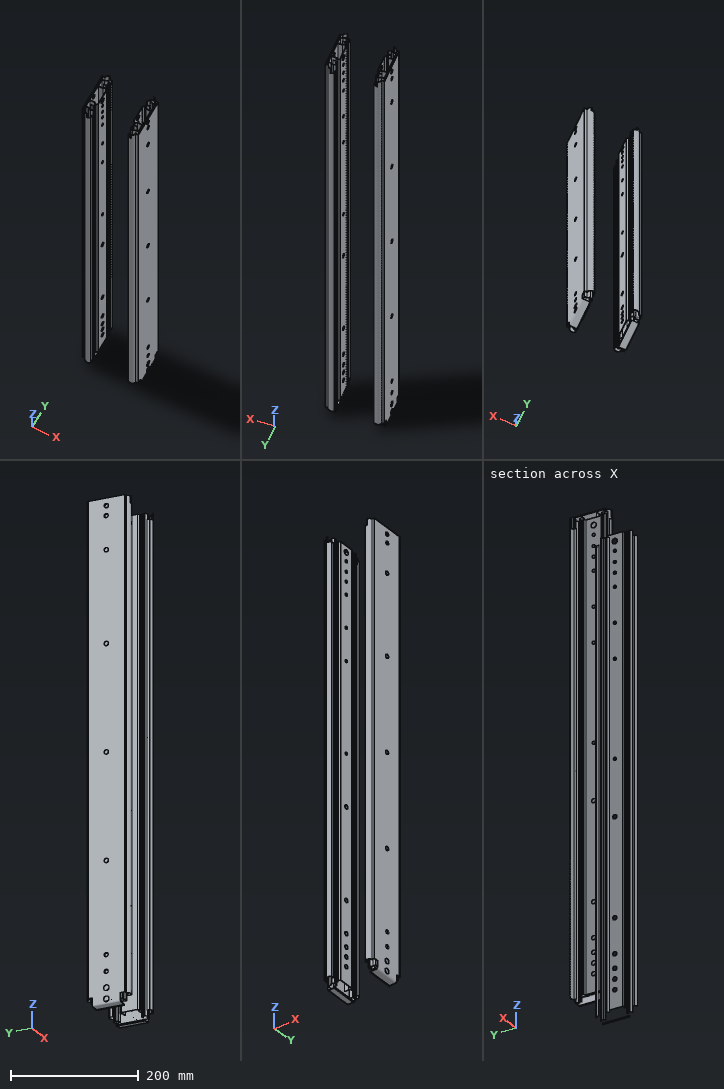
import cadquery as cq
import math

pair_width = 100.0
rail_height = 76.5
rail_length = 860.0
sheet = 1.3
half_sheet = sheet / 2

slide_depth = 19.0

outer_flange_half = 33.1
flange_depth = 5.0
race_depth = 11.0
race_end_depth = 17.0
race_end_half = 35.7
lip_end_half = 31.0
outer_flange_bottom = 16.0
race_notch_depth = 10.0
race_notch_length = 11.0

tab_half_width = 24.5
tab_level = 1.0
tab_bend_radius = 3.0
tab_hook_depth = 15.05

middle_back = 2.15
middle_half = 27.5
middle_ridge_half = 30.0
middle_ridge_depth = 12.5
middle_ridge_start = 8.0
middle_depth = 17.0
middle_lip_half = 25.0
middle_hook_half = 20.0
middle_hook_depth = 15.5
middle_hook_length = 5.0
middle_bottom = 8.0

inner_face_half = 14.2
inner_ear_half = 17.6
inner_ear_depth = 15.05
inner_flange_half = 15.0
inner_flange_start = 4.7
inner_bottom = 20.0

screw_hole = 7.4
small_hole = 5.0
large_hole = 9.5
outer_screw_levels = [245.0, 429.0, 613.0, 772.0, 847.0]
outer_countersunk_levels = [57.0, 85.0, 830.0]
outer_large_levels = [10.0, 29.0]
access_levels = [847.0]
inner_small_levels = [462.0, 639.0, 703.0, 766.0, 791.0, 810.0, 830.0]
inner_screw_levels = [53.0, 72.0, 91.0, 117.0, 181.0, 359.5]
countersink_angle = math.degrees(math.atan((screw_hole - small_hole) / 2 / sheet))


def depth_x(depth):
    """X of a depth below the mounting face of the left slide."""
    return depth - pair_width / 2


def rolled(path, bottom):
    """A sheet of constant thickness along a wire in XY, from bottom to the top of the rail."""
    return path.offset2D(half_sheet, "intersection").extrude(rail_length - bottom)


def start_path(bottom, depth, half):
    """The start of a sheet wire, at a depth and a Y value on the plane of its lower end."""
    return cq.Workplane("XY", origin=(depth_x(0), 0, bottom)).moveTo(depth, half)


def web_holes(levels, diameter, first_depth, last_depth):
    """Round cutters through a web, one at each level."""
    return (
        cq.Workplane("YZ", origin=(depth_x(first_depth), 0, 0))
        .pushPoints([(0, level) for level in levels])
        .circle(diameter / 2)
        .extrude(last_depth - first_depth)
    )


def countersinks(levels):
    """Cutters for screw holes that taper from the mounting face to the small diameter."""
    return (
        cq.Workplane("YZ", origin=(depth_x(0), 0, 0))
        .pushPoints([(0, level) for level in levels])
        .circle(screw_hole / 2)
        .extrude(sheet, taper=countersink_angle)
    )


def outer_channel():
    flat = outer_flange_half - half_sheet
    crown = (race_depth, rail_height / 2 - half_sheet)
    end = (race_end_depth - half_sheet, race_end_half - half_sheet)
    path = (
        start_path(outer_flange_bottom, end[0], -lip_end_half)
        .lineTo(end[0], -end[1])
        .threePointArc((crown[0], -crown[1]), (flange_depth, -flat))
        .lineTo(half_sheet, -flat)
        .lineTo(half_sheet, flat)
        .lineTo(flange_depth, flat)
        .threePointArc(crown, end)
        .lineTo(end[0], lip_end_half)
    )
    return rolled(path, outer_flange_bottom)


def stop_tab():
    """Lower end of the outer web: bent forward, with a short hook at the front."""
    bend_top = tab_level + half_sheet + tab_bend_radius
    inner = tab_bend_radius - half_sheet
    outside = tab_bend_radius + half_sheet
    return (
        cq.Workplane("XZ", origin=(depth_x(0), tab_half_width, 0))
        .moveTo(0, outer_flange_bottom)
        .lineTo(0, bend_top)
        .radiusArc((outside, tab_level), -outside)
        .lineTo(tab_hook_depth - sheet, tab_level)
        .lineTo(tab_hook_depth - sheet, 0)
        .lineTo(tab_hook_depth, 0)
        .lineTo(tab_hook_depth, tab_level + sheet)
        .lineTo(outside, tab_level + sheet)
        .radiusArc((sheet, bend_top), inner)
        .lineTo(sheet, outer_flange_bottom)
        .close()
        .extrude(2 * tab_half_width)
    )


def outer_rail():
    notch_end = depth_x(race_notch_depth)
    notch = cq.Workplane("XY", origin=(notch_end, 0, rail_length)).box(
        slide_depth, rail_height, race_notch_length, centered=(False, True, False)
    ).translate((0, 0, -race_notch_length))
    return (
        outer_channel()
        .union(stop_tab())
        .cut(notch)
        .cut(web_holes(outer_screw_levels, screw_hole, 0, sheet))
        .cut(web_holes(outer_large_levels, large_hole, 0, sheet))
        .cut(countersinks(outer_countersunk_levels))
    )


def middle_rail():
    back = middle_back + half_sheet
    flange = middle_half - half_sheet
    ridge = middle_ridge_half - half_sheet
    front = middle_depth - half_sheet
    hook_front = middle_hook_depth - half_sheet
    hook = middle_hook_half + half_sheet
    upper = [
        (back, flange),
        (middle_ridge_start, flange),
        (middle_ridge_depth, ridge),
        (front, flange),
        (front, middle_lip_half),
        (hook_front, middle_lip_half - (front - hook_front)),
        (hook_front, hook),
        (hook_front - middle_hook_length, hook),
    ]
    lower = [(depth, -half) for depth, half in reversed(upper)]
    path = start_path(middle_bottom, *lower[0]).polyline(lower[1:] + upper, includeCurrent=True)
    holes = web_holes(access_levels, screw_hole, middle_back, middle_back + sheet)
    return rolled(path, middle_bottom).cut(holes)


def inner_rail():
    front = slide_depth - half_sheet
    flange = inner_flange_half - half_sheet
    ear = inner_ear_half - half_sheet
    upper = [
        (front, inner_face_half),
        (inner_ear_depth, ear),
        (inner_ear_depth - (ear - flange), flange),
        (inner_flange_start, flange),
    ]
    lower = [(depth, -half) for depth, half in reversed(upper)]
    path = start_path(inner_bottom, *lower[0]).polyline(lower[1:] + upper, includeCurrent=True)
    face_back = slide_depth - sheet
    return (
        rolled(path, inner_bottom)
        .cut(web_holes(inner_small_levels, small_hole, face_back, slide_depth))
        .cut(web_holes(inner_screw_levels, screw_hole, face_back, slide_depth))
        .cut(web_holes(access_levels, large_hole, face_back, slide_depth))
    )


bodies = []
for rail in (outer_rail(), middle_rail(), inner_rail()):
    bodies.append(rail.val())
    bodies.append(rail.mirror("YZ").val())

result = cq.Compound.makeCompound(bodies)